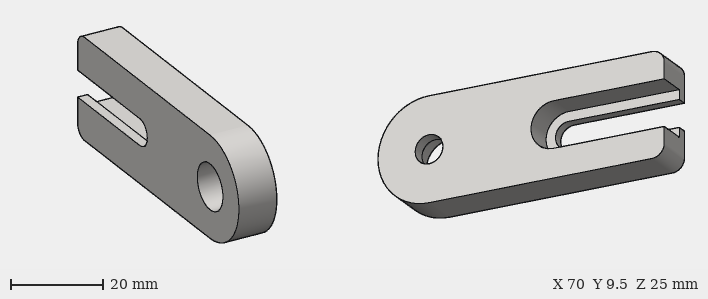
import cadquery as cq

length = 70.0
height = 25.0
thickness = 9.5
end_radius = height / 2
corner_radius = 3.0

bolt_diameter = 6.75
head_diameter = 11.1
counterbore_depth = 6.35

slot_width = 6.5
slot_recess_width = head_diameter
slot_recess_depth = 7.0
slot_center_x = 27.0

pivot_x = length - end_radius


def plate():
    """Plate with a full round at +X and rounded corners at -X."""
    outline = (
        cq.Workplane("XZ")
        .moveTo(0, -end_radius)
        .lineTo(pivot_x, -end_radius)
        .threePointArc((length, 0), (pivot_x, end_radius))
        .lineTo(0, end_radius)
        .close()
    )
    return outline.extrude(-thickness).edges("|Y and <X").fillet(corner_radius)


def hole_cutter(diameter, y_start, depth):
    """Cylinder along +Y at the pivot."""
    return (
        cq.Workplane("XZ", origin=(pivot_x, y_start, 0))
        .circle(diameter / 2)
        .extrude(-depth)
    )


def slot_cutter(width, y_start, depth):
    """Round-ended slot running along +Y from y_start and out through the -X end."""
    radius = width / 2
    return (
        cq.Workplane("XZ", origin=(0, y_start, 0))
        .moveTo(0, -radius)
        .lineTo(slot_center_x, -radius)
        .threePointArc((slot_center_x + radius, 0), (slot_center_x, radius))
        .lineTo(0, radius)
        .close()
        .extrude(-depth)
    )


result = (
    plate()
    .cut(hole_cutter(bolt_diameter, 0, thickness))
    .cut(hole_cutter(head_diameter, 0, counterbore_depth))
    .cut(slot_cutter(slot_width, 0, thickness))
    .cut(slot_cutter(slot_recess_width, thickness - slot_recess_depth, slot_recess_depth))
)